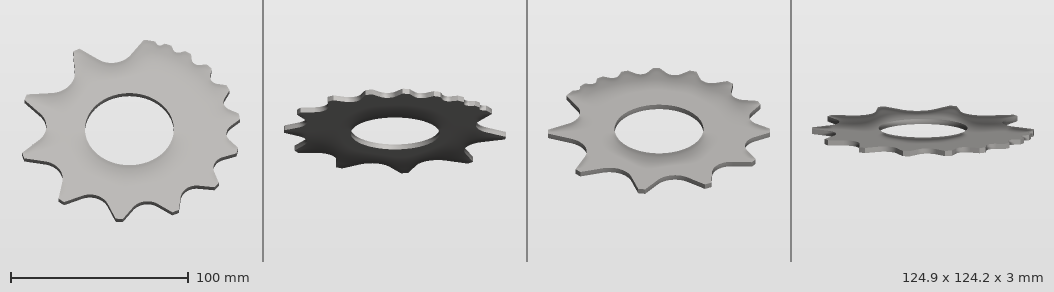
import cadquery as cq
import math

OUTER_RADIUS = 62.5
BORE_DIAMETER = 50.0
THICKNESS = 3.0

SMALLEST_GAUGE = 2
LARGEST_GAUGE = 14
FIRST_NOTCH_ANGLE = 90.0
TOOTH_WIDTH = 4.0

CLOSING_GAUGE = 13
CLOSING_NOTCH_ANGLE = 115.6

CUTTER_OVERHANG = 5.0


def mouth_half_width(gauge):
    """Half of a notch mouth: the flanks stand at 45 degrees to the notch axis."""
    return gauge * math.sqrt(2)


def mouth_half_angle(gauge):
    """Half of the angle, in degrees, that a notch mouth spans on the rim."""
    return math.degrees(math.asin(mouth_half_width(gauge) / OUTER_RADIUS))


def notch_cutter(gauge, direction):
    """A prism with a round root of the gauge radius and two tangent 45 degree flanks.

    The root arc is centred on the chord that joins the two corners of the mouth.
    """
    centre_x = math.sqrt(OUTER_RADIUS**2 - mouth_half_width(gauge) ** 2)
    tangent_offset = gauge / math.sqrt(2)
    tangent_x = centre_x - tangent_offset
    end_x = OUTER_RADIUS + CUTTER_OVERHANG
    end_y = tangent_offset + end_x - tangent_x
    return (
        cq.Workplane("XY")
        .moveTo(end_x, -end_y)
        .lineTo(tangent_x, -tangent_offset)
        .threePointArc((centre_x - gauge, 0), (tangent_x, tangent_offset))
        .lineTo(end_x, end_y)
        .close()
        .extrude(THICKNESS)
        .rotate((0, 0, 0), (0, 0, 1), direction)
    )


def ring():
    """The plain disc with its central bore."""
    return cq.Workplane("XY").circle(OUTER_RADIUS).circle(BORE_DIAMETER / 2).extrude(THICKNESS)


def notched_ring():
    """The ring with its notches, growing clockwise and one tooth apart, and the closing notch."""
    tooth_angle = math.degrees(TOOTH_WIDTH / OUTER_RADIUS)
    body = ring()
    direction = FIRST_NOTCH_ANGLE
    for gauge in range(SMALLEST_GAUGE, LARGEST_GAUGE + 1):
        body = body.cut(notch_cutter(gauge, direction))
        direction -= mouth_half_angle(gauge) + tooth_angle + mouth_half_angle(gauge + 1)
    return body.cut(notch_cutter(CLOSING_GAUGE, CLOSING_NOTCH_ANGLE))


result = notched_ring()